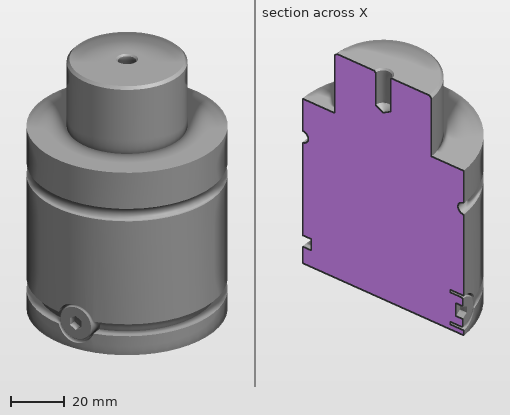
import cadquery as cq
import math

total_height = 105.0
body_height = 77.0
body_radius = 75.0 / 2
rod_radius = 45.0 / 2
rod_chamfer = 1.0

round_groove_z = 59.1
round_groove_radius = 2.6

square_groove_bottom = 8.0
square_groove_top = 13.0
square_groove_floor_radius = 33.5

hole_radius = 6.8 / 2
hole_mouth_radius = 8.2 / 2
hole_depth = 15.8
drill_point_angle = 118.0

plug_z = 10.5
seat_radius = 16.0 / 2
seat_depth = 6.3
plug_radius = 14.0 / 2
plug_face_depth = 0.5
plug_chamfer = 0.4
plug_root_y = -29.4
hex_across_flats = 5.0
hex_depth = 3.2


def cylinder_toward_front(radius, start_y, end_y):
    """Cylinder at the plug height, running in -Y from start_y to end_y."""
    plane = cq.Plane(origin=(0, start_y, plug_z), xDir=(1, 0, 0), normal=(0, -1, 0))
    return cq.Workplane(plane).circle(radius).extrude(start_y - end_y)


def make_body():
    """Revolve the stepped outline with both ring grooves and the rod."""
    profile = (
        cq.Workplane("XZ")
        .lineTo(body_radius, 0)
        .lineTo(body_radius, square_groove_bottom)
        .lineTo(square_groove_floor_radius, square_groove_bottom)
        .lineTo(square_groove_floor_radius, square_groove_top)
        .lineTo(body_radius, square_groove_top)
        .lineTo(body_radius, round_groove_z - round_groove_radius)
        .threePointArc(
            (body_radius - round_groove_radius, round_groove_z),
            (body_radius, round_groove_z + round_groove_radius),
        )
        .lineTo(body_radius, body_height)
        .lineTo(rod_radius, body_height)
        .lineTo(rod_radius, total_height - rod_chamfer)
        .lineTo(rod_radius - rod_chamfer, total_height)
        .lineTo(0, total_height)
        .close()
    )
    return profile.revolve(360, (0, 0, 0), (0, 1, 0))


def make_rod_hole():
    """Revolve the blind hole, its 45 degree mouth and its conical end."""
    mouth_depth = hole_mouth_radius - hole_radius
    point_length = hole_radius / math.tan(math.radians(drill_point_angle / 2))
    straight_end_z = total_height - hole_depth
    profile = (
        cq.Workplane("XZ")
        .moveTo(0, total_height)
        .lineTo(hole_mouth_radius, total_height)
        .lineTo(hole_radius, total_height - mouth_depth)
        .lineTo(hole_radius, straight_end_z)
        .lineTo(0, straight_end_z - point_length)
        .close()
    )
    return profile.revolve(360, (0, 0, 0), (0, 1, 0))


def add_plug(body):
    """Sink a round seat across the square groove and fit the hex socket plug."""
    seat_y = -body_radius + seat_depth
    face_y = -body_radius + plug_face_depth
    seat = cylinder_toward_front(seat_radius, seat_y, -body_radius)
    plug = cylinder_toward_front(plug_radius, plug_root_y, face_y).faces("<Y").chamfer(plug_chamfer)

    hex_corner_diameter = hex_across_flats / math.cos(math.pi / 6)
    socket_plane = cq.Plane(origin=(0, face_y, plug_z), xDir=(0, 0, 1), normal=(0, -1, 0))
    socket = cq.Workplane(socket_plane).polygon(6, hex_corner_diameter).extrude(-hex_depth)
    return body.cut(seat).union(plug).cut(socket)


result = add_plug(make_body().cut(make_rod_hole()))